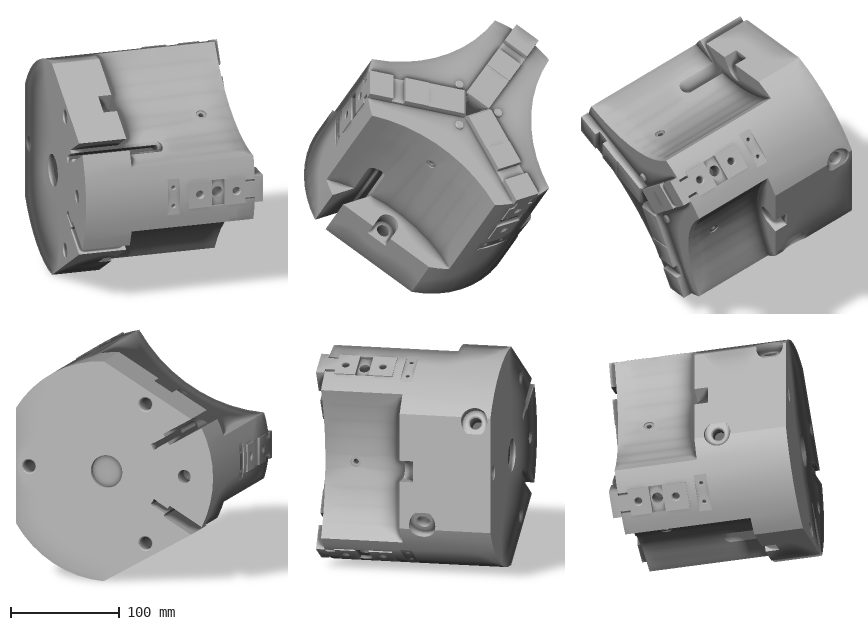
import cadquery as cq
import math


HALF_SIZE = 103.0
FLAT_HALF_ANGLE = math.radians(31.6)
BODY_RADIUS = HALF_SIZE / math.cos(FLAT_HALF_ANGLE - math.radians(30))
FLAT_DISTANCE = BODY_RADIUS * math.cos(FLAT_HALF_ANGLE)
BODY_HEIGHT = 162.2
JAW_ANGLES = (0, 120, 240)
FLAT_ANGLES = (60, 180, 300)

SCOOP_RADIUS = 146.2
SCOOP_NEAREST = 58.0
LEDGE_HEIGHTS = {60: 45.3, 180: 85.5, 300: 45.3}
AIR_PORT_Y = 133.5
AIR_PORT_FACE_RADIUS = 5.0
AIR_PORT_FACE_DEPTH = 1.0
AIR_PORT_RADIUS = 2.5
AIR_PORT_DEPTH = 12.4

BOLT_CIRCLE_RADIUS = 75.1
BOLT_HOLE_RADIUS = 6.0
BOLT_CHAMFER = 1.0
BOLT_SEAT_RADIUS = 9.9
BOLT_SEAT_DEPTH = 12.8

CENTER_RECESS_RADIUS = 15.2
CENTER_RECESS_DEPTH = 5.4
DOWEL_HOLE_RADIUS = 6.2
DOWEL_HOLE_DEPTH = 16.5
DRILL_POINT_HEIGHT = DOWEL_HOLE_RADIUS * math.tan(math.radians(31))

GROOVE_ANGLES = (30, -30)
GROOVE_CENTER_Y = 80.0
GROOVE_STEPS = ((67.0, 12.0), (54.8, 5.4), (51.0, 6.2))

PORT_PLACES = ((150, 15.2), (210, 64.2))
PORT_FACE_DISTANCE = 95.1
PORT_FACE_RADIUS = 12.4
PORT_RADIUS = 5.5
PORT_CHAMFER = 1.0
PORT_DEPTH = 14.8

STUD_CIRCLE_RADIUS = 25.3
STUD_RADIUS = 4.3
STUD_HEIGHT = 2.3
STUD_CHAMFER = 0.8

SENSOR_FLAT_DISTANCE = 101.5
SENSOR_FLAT_BOTTOM = 78.9
SENSOR_FLAT_HEIGHT = 11.3
SENSOR_HOLE_SPACING = 18.0
SENSOR_HOLE_RADIUS = 1.6
SENSOR_HOLE_CHAMFER = 0.6
SENSOR_HOLE_DEPTH = 8.2

JAW_OUTER_END = 103.4
JAW_WIDTH = 25.3
JAW_BOTTOM = 98.5
JAW_TOP = 170.0
NECK_WIDTH = 14.8
NECK_BOTTOM = 153.0
NECK_GAP = 2.3
JAW_INNER_END = 7.6
TIP_CHAMFER = 2.5
TIP_STEP_END = 45.3
TIP_STEP_DEPTH = 0.6
KEYWAY_START = 68.5
KEYWAY_WIDTH = 11.7
KEYWAY_DEPTH = 5.0
JAW_RELIEF_BOTTOM = 120.9
JAW_RELIEF_HEIGHT = 12.4
JAW_RELIEF_DEPTH = 4.1
JAW_RELIEF_HOLE_RADIUS = 5.0
JAW_SCREW_SPACING = 35.0
JAW_SCREW_RADIUS = 3.3
JAW_SCREW_CHAMFER = 0.8
JAW_HOLE_DEPTH = 20.5

OUTSIDE = 2 * BODY_RADIUS


def block(x_range, y_range, width):
    """A box between the given radial and axial limits, centred on Z = 0."""
    length = x_range[1] - x_range[0]
    height = y_range[1] - y_range[0]
    box = cq.Workplane("XY").box(length, height, width, centered=(False, False, True))
    return box.translate((x_range[0], y_range[0], 0))


def axial_rod(radius, y_range, x=0):
    """A cylinder along Y."""
    height = y_range[1] - y_range[0]
    start = cq.Vector(x, y_range[0], 0)
    return cq.Workplane(cq.Solid.makeCylinder(radius, height, start, cq.Vector(0, 1, 0)))


def radial_rod(radius, x_range, y, z=0):
    """A cylinder along X."""
    length = x_range[1] - x_range[0]
    start = cq.Vector(x_range[0], y, z)
    return cq.Workplane(cq.Solid.makeCylinder(radius, length, start, cq.Vector(1, 0, 0)))


def countersunk_rod(radius, chamfer, face_x, depth, y, z=0):
    """The space of a radial blind hole with a chamfered mouth in the face X = face_x."""
    hole = radial_rod(radius, (face_x - depth, face_x), y, z)
    mouth = cq.Solid.makeCone(
        radius + chamfer, radius, chamfer, cq.Vector(face_x, y, z), cq.Vector(-1, 0, 0)
    )
    return hole.union(cq.Workplane(mouth))


def turned(shape, angle):
    """The shape turned about Y, so that +X points at `angle`, counted from X towards Z."""
    return shape.rotate((0, 0, 0), (0, 1, 0), -angle)


def flat_cut():
    return block((FLAT_DISTANCE, OUTSIDE), (0, BODY_HEIGHT), OUTSIDE)


def scoop_cut(ledge_y):
    scoop = axial_rod(SCOOP_RADIUS, (ledge_y, BODY_HEIGHT), SCOOP_NEAREST + SCOOP_RADIUS)
    face_x = SCOOP_NEAREST - AIR_PORT_FACE_DEPTH
    seat = radial_rod(AIR_PORT_FACE_RADIUS, (face_x, BODY_RADIUS), AIR_PORT_Y)
    port = radial_rod(AIR_PORT_RADIUS, (face_x - AIR_PORT_DEPTH, BODY_RADIUS), AIR_PORT_Y)
    return scoop.union(seat).union(port)


def bolt_cut(ledge_y):
    seat_range = (ledge_y - BOLT_SEAT_DEPTH, ledge_y)
    hole = axial_rod(BOLT_HOLE_RADIUS, (0, ledge_y), BOLT_CIRCLE_RADIUS)
    mouth = cq.Solid.makeCone(
        BOLT_HOLE_RADIUS + BOLT_CHAMFER,
        BOLT_HOLE_RADIUS,
        BOLT_CHAMFER,
        cq.Vector(BOLT_CIRCLE_RADIUS, 0, 0),
        cq.Vector(0, 1, 0),
    )
    seat = axial_rod(BOLT_SEAT_RADIUS, seat_range, BOLT_CIRCLE_RADIUS)
    opening = block((BOLT_CIRCLE_RADIUS, BODY_RADIUS), seat_range, 2 * BOLT_SEAT_RADIUS)
    return hole.union(cq.Workplane(mouth)).union(seat).union(opening)


def dowel_hole_cut():
    hole = axial_rod(DOWEL_HOLE_RADIUS, (0, DOWEL_HOLE_DEPTH), BOLT_CIRCLE_RADIUS)
    point = cq.Solid.makeCone(
        DOWEL_HOLE_RADIUS,
        0,
        DRILL_POINT_HEIGHT,
        cq.Vector(BOLT_CIRCLE_RADIUS, DOWEL_HOLE_DEPTH, 0),
        cq.Vector(0, 1, 0),
    )
    return hole.union(cq.Workplane(point))


def groove_cut():
    """A stepped radial groove, open at the mounting face and round at its far end."""
    outer_end = OUTSIDE
    cut = cq.Workplane("XY")
    for inner_end, width in GROOVE_STEPS:
        limits = (inner_end, outer_end)
        cut = cut.union(block(limits, (0, GROOVE_CENTER_Y), width))
        cut = cut.union(radial_rod(width / 2, limits, GROOVE_CENTER_Y))
        outer_end = inner_end
    return cut


def hose_port_cut(y):
    seat = radial_rod(PORT_FACE_RADIUS, (PORT_FACE_DISTANCE, OUTSIDE), y)
    return seat.union(countersunk_rod(PORT_RADIUS, PORT_CHAMFER, PORT_FACE_DISTANCE, PORT_DEPTH, y))


def sensor_flat_cut():
    y_range = (SENSOR_FLAT_BOTTOM, SENSOR_FLAT_BOTTOM + SENSOR_FLAT_HEIGHT)
    cut = block((SENSOR_FLAT_DISTANCE, OUTSIDE), y_range, OUTSIDE)
    for side in (-1, 1):
        cut = cut.union(
            countersunk_rod(
                SENSOR_HOLE_RADIUS,
                SENSOR_HOLE_CHAMFER,
                SENSOR_FLAT_DISTANCE,
                SENSOR_HOLE_DEPTH,
                sum(y_range) / 2,
                side * SENSOR_HOLE_SPACING / 2,
            )
        )
    return cut


def jaw_guide_cut():
    """The guide of one jaw: a wide channel in the core and a slot for the neck above it."""
    channel = block((0, OUTSIDE), (JAW_BOTTOM, NECK_BOTTOM), JAW_WIDTH)
    slot = block((0, OUTSIDE), (NECK_BOTTOM, BODY_HEIGHT), NECK_WIDTH + 2 * NECK_GAP)
    return channel.union(slot)


def stud():
    rod = axial_rod(STUD_RADIUS, (BODY_HEIGHT, BODY_HEIGHT + STUD_HEIGHT), STUD_CIRCLE_RADIUS)
    return rod.faces(">Y").chamfer(STUD_CHAMFER)


def make_housing():
    core = axial_rod(BODY_RADIUS, (0, BODY_HEIGHT))
    for angle in FLAT_ANGLES:
        ledge_y = LEDGE_HEIGHTS[angle]
        for cut in (flat_cut(), scoop_cut(ledge_y), bolt_cut(ledge_y)):
            core = core.cut(turned(cut, angle))
        core = core.union(turned(stud(), angle))
    for angle in GROOVE_ANGLES:
        core = core.cut(turned(groove_cut(), angle))
    for angle, y in PORT_PLACES:
        core = core.cut(turned(hose_port_cut(y), angle))
    for angle in JAW_ANGLES:
        core = core.cut(turned(sensor_flat_cut(), angle))
        core = core.cut(turned(jaw_guide_cut(), angle))
    core = core.cut(axial_rod(CENTER_RECESS_RADIUS, (0, CENTER_RECESS_DEPTH)))
    return core.cut(dowel_hole_cut())


def make_jaw():
    reach = (JAW_INNER_END, JAW_OUTER_END)
    low_top = JAW_TOP - TIP_STEP_DEPTH
    jaw = block(reach, (BODY_HEIGHT, low_top), JAW_WIDTH)
    jaw = jaw.faces("<X").edges(">Y").chamfer(TIP_CHAMFER)
    jaw = jaw.union(block((TIP_STEP_END, JAW_OUTER_END), (low_top, JAW_TOP), JAW_WIDTH))
    jaw = jaw.union(block(reach, (NECK_BOTTOM, BODY_HEIGHT), NECK_WIDTH))
    jaw = jaw.union(block(reach, (JAW_BOTTOM, NECK_BOTTOM), JAW_WIDTH))
    keyway = (KEYWAY_START, KEYWAY_START + KEYWAY_WIDTH)
    jaw = jaw.cut(block(keyway, (JAW_TOP - KEYWAY_DEPTH, JAW_TOP), JAW_WIDTH))
    relief_x = JAW_OUTER_END - JAW_RELIEF_DEPTH
    relief = (JAW_RELIEF_BOTTOM, JAW_RELIEF_BOTTOM + JAW_RELIEF_HEIGHT)
    middle_y = sum(relief) / 2
    jaw = jaw.cut(block((relief_x, JAW_OUTER_END), relief, JAW_WIDTH))
    jaw = jaw.cut(radial_rod(JAW_RELIEF_HOLE_RADIUS, (relief_x - JAW_HOLE_DEPTH, relief_x), middle_y))
    for side in (-1, 1):
        screw_y = middle_y + side * JAW_SCREW_SPACING / 2
        jaw = jaw.cut(
            countersunk_rod(JAW_SCREW_RADIUS, JAW_SCREW_CHAMFER, JAW_OUTER_END, JAW_HOLE_DEPTH, screw_y)
        )
    return jaw


housing = make_housing()
jaws = [turned(make_jaw(), angle) for angle in JAW_ANGLES]
result = cq.Compound.makeCompound([housing.val()] + [jaw.val() for jaw in jaws])